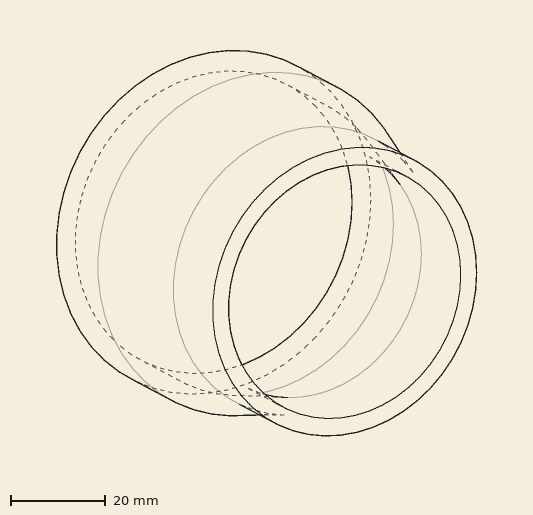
import cadquery as cq

length = 60.0
wide_length = 19.0
narrow_length = 18.0
wide_outer_diameter = 75.0
narrow_outer_diameter = 63.0
wide_wall = 4.5
narrow_wall = 3.8

taper_start = wide_length
taper_end = length - narrow_length


def stepped_cone(wide_radius, narrow_radius):
    """Solid of revolution: wide cylinder, conical taper, narrow cylinder."""
    half_profile = [
        (0, 0),
        (0, wide_radius),
        (taper_start, wide_radius),
        (taper_end, narrow_radius),
        (length, narrow_radius),
        (length, 0),
    ]
    return cq.Workplane("XY").polyline(half_profile).close().revolve(360, (0, 0, 0), (1, 0, 0))


wide_radius = wide_outer_diameter / 2
narrow_radius = narrow_outer_diameter / 2

body = stepped_cone(wide_radius, narrow_radius)
bore = stepped_cone(wide_radius - wide_wall, narrow_radius - narrow_wall)

result = body.cut(bore)